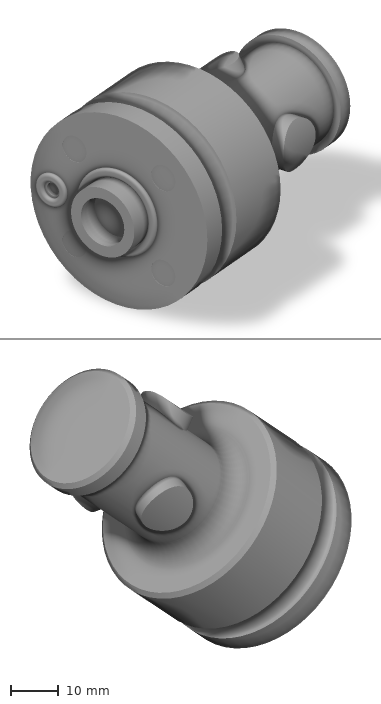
import cadquery as cq
import math

total_length = 72.5
spout_length = 6.0
spout_radius = 8.05
spout_bore_radius = 5.5
spout_bore_depth = 5.0
body_diameter = 45.0
body_radius = body_diameter / 2
body_length = 28.0
edge_chamfer = 0.95

groove_start = 5.45
groove_end = 10.7
groove_depth = 2.5

shaft_radius = 11.95
shaft_fillet = 4.1
flange_radius = 13.7
flange_thickness = 4.5
rear_end = total_length - spout_length

lug_count = 3
lug_radius = 5.95
lug_reach = 14.9
lug_position = 45.0

seal_outer_radius = 10.15
seal_inner_radius = 8.05
seal_height = 1.3

port_offset = 16.8
port_outer_radius = 3.9
port_inner_radius = 1.95
port_height = 1.0
port_seal_thickness = 1.4
port_bore_radius = 1.5
port_bore_depth = 1.0

plug_offset = 11.3
plug_radius = 3.05
plug_recess = 0.1


def cylinder(radius, start, end, x=0, z=0):
    """Cylinder along Y between two Y positions."""
    axis_start = cq.Vector(x, start, z)
    return cq.Workplane(cq.Solid.makeCylinder(radius, end - start, axis_start, cq.Vector(0, 1, 0)))


def make_turned_body():
    """Body, waist fillet, shaft and rear flange as one revolved profile."""
    groove_middle = (groove_start + groove_end) / 2
    fillet_corner_radius = shaft_radius + shaft_fillet
    fillet_mid_radius = fillet_corner_radius - shaft_fillet * math.sqrt(0.5)
    fillet_mid_y = body_length + shaft_fillet * (1 - math.sqrt(0.5))
    flange_start = rear_end - flange_thickness
    profile = (
        cq.Workplane("XY")
        .lineTo(body_radius, 0)
        .lineTo(body_radius, groove_start)
        .threePointArc((body_radius - groove_depth, groove_middle), (body_radius, groove_end))
        .lineTo(body_radius, body_length - edge_chamfer)
        .lineTo(body_radius - edge_chamfer, body_length)
        .lineTo(fillet_corner_radius, body_length)
        .threePointArc((fillet_mid_radius, fillet_mid_y), (shaft_radius, body_length + shaft_fillet))
        .lineTo(shaft_radius, flange_start)
        .lineTo(flange_radius, flange_start)
        .lineTo(flange_radius, rear_end - edge_chamfer)
        .lineTo(flange_radius - edge_chamfer, rear_end)
        .lineTo(0, rear_end)
        .close()
    )
    return profile.revolve(360, (0, 0, 0), (0, 1, 0))


def make_lugs():
    """Round radial lugs whose ends follow a cylinder coaxial with the shaft."""
    envelope = cylinder(lug_reach, lug_position - lug_radius, lug_position + lug_radius)
    lug = (
        cq.Workplane("YZ")
        .center(lug_position, 0)
        .circle(lug_radius)
        .extrude(lug_reach)
        .intersect(envelope)
    )
    lugs = lug
    for index in range(1, lug_count):
        lugs = lugs.union(lug.rotate((0, 0, 0), (0, 1, 0), index * 360 / lug_count))
    return lugs


def make_seal(outer_radius, inner_radius, thickness, height, x=0):
    """Flat seal ring with half-round rims, partly sunk when thicker than its height."""
    top = -height
    middle = top + thickness / 2
    bottom = top + thickness
    outer_flat = outer_radius - thickness / 2
    inner_flat = inner_radius + thickness / 2
    section = (
        cq.Workplane("XY")
        .moveTo(inner_flat, top)
        .lineTo(outer_flat, top)
        .threePointArc((outer_radius, middle), (outer_flat, bottom))
        .lineTo(inner_flat, bottom)
        .threePointArc((inner_radius, middle), (inner_flat, top))
        .close()
    )
    return section.revolve(360, (0, 0, 0), (0, 1, 0)).translate((x, 0, 0))


result = make_turned_body().union(make_lugs())
result = result.union(make_seal(seal_outer_radius, seal_inner_radius, seal_height, seal_height))
port_seal = make_seal(port_outer_radius, port_inner_radius, port_seal_thickness, port_height, -port_offset)
result = result.union(port_seal)
result = result.union(cylinder(spout_radius, -spout_length, 0))
result = result.cut(cylinder(spout_bore_radius, -spout_length, spout_bore_depth - spout_length))
result = result.cut(cylinder(port_bore_radius, 0, port_bore_depth, -port_offset))
for plug_x in (-plug_offset, plug_offset):
    for plug_z in (-plug_offset, plug_offset):
        result = result.cut(cylinder(plug_radius, 0, plug_recess, plug_x, plug_z))